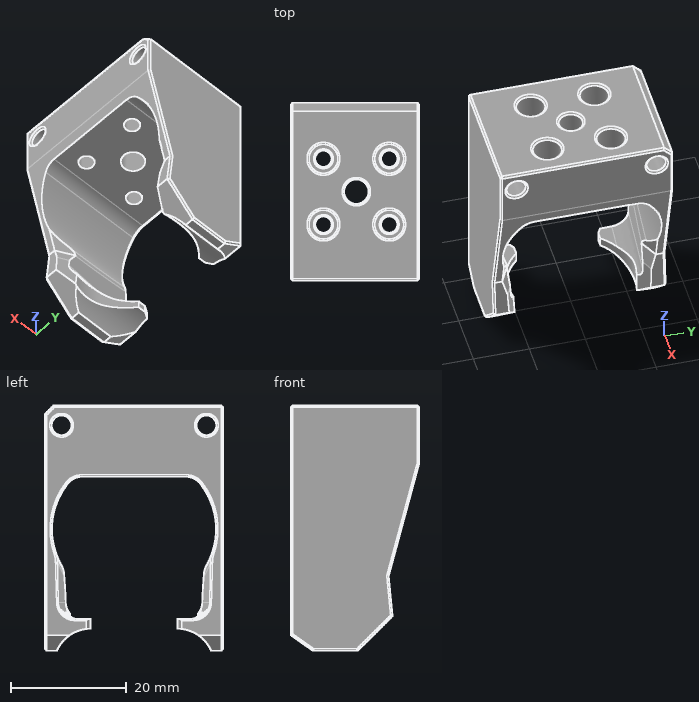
import cadquery as cq
import math

length = 22.18
width = 30.8
height = 42.4
edge_chamfer = 0.35
rear_top_chamfer = 1.5

shoulder_z = 32.35
waist_x, waist_z = 16.9, 12.95
heel_x, heel_z = 17.6, 6.0
sole_start_x, sole_end_x = 3.85, 11.55
toe_z = 2.7

roof_z = 30.05
bulge_half_width = 14.15
bulge_radius = 12.7
bulge_z = 21.05
bulge_base_z = 11.87
roof_corner_radius = 3.05

floor_z = 5.5
pocket_top_z = 19.1
pocket_half_width = 13.1
pocket_draft = 5.0
pocket_lean = 0.25
floor_radius = 2.93
ridge_radius = 4.25

hook_tip_y = 7.5
hook_bevel_x = 1.27
hook_bevel_y = 0.75
hook_thickness = 1.7
hook_underside_radius = 6.35
mouth_radius = 11.35
mouth_top_z = 8.5

flare_start_x = 12.7
flare_start_y = 10.6
flare_foot_y = 9.6
flare_rate = 0.5
flare_step = 1.0
flare_step_z = 10.0
flare_top_z = 21.2

bolt_x = 11.3
bolt_spacing = 11.35
bolt_diameter = 2.8
bolt_seat_diameter = 3.4
counterbore_diameter = 5.0
counterbore_depth = 5.95
center_diameter = 4.2
cross_diameter = 3.4
cross_y = 12.5
cross_z = 38.95

margin = 0.42


def make_block():
    """Outer body with the chamfers of its outside edges."""
    outline = [
        (0, toe_z),
        (sole_start_x, 0),
        (sole_end_x, 0),
        (heel_x, heel_z),
        (waist_x, waist_z),
        (length, shoulder_z),
        (length, height),
        (0, height),
    ]
    block = cq.Workplane("XZ").polyline(outline).close().extrude(width / 2, both=True)
    block = block.faces(">Y").edges(">Z").chamfer(rear_top_chamfer)
    front_edges = block.faces("<Y").edges()
    rear_edges = block.faces(">Y").edges("not >Z")
    top_side_edges = block.faces(">Z").edges("|Y")
    slanted_edges = block.faces(">(0,1,1)").edges("not |X")
    edges = front_edges.add(rear_edges).add(top_side_edges).add(slanted_edges)
    return block.newObject(edges.vals()).chamfer(edge_chamfer)


def make_bulge():
    """Straight prism along X with bowed sides and a flat rounded roof."""
    center_y = bulge_half_width - bulge_radius

    def side_y(z):
        return center_y + math.sqrt(bulge_radius**2 - (z - bulge_z) ** 2)

    roof_y = side_y(roof_z)
    base_y = side_y(bulge_base_z)
    prism = (
        cq.Workplane("YZ", origin=(-margin, 0, 0))
        .moveTo(-roof_y, roof_z)
        .lineTo(roof_y, roof_z)
        .threePointArc((bulge_half_width, bulge_z), (base_y, bulge_base_z))
        .lineTo(-base_y, bulge_base_z)
        .threePointArc((-bulge_half_width, bulge_z), (-roof_y, roof_z))
        .close()
        .extrude(length + 2 * margin)
    )
    return prism.faces(">Z").edges("|X").fillet(roof_corner_radius)


def make_pocket():
    """Pocket whose side walls close in toward +X, with rounded floor corners."""
    depth = length + 2 * margin
    narrowing = depth * math.tan(math.radians(pocket_draft))

    def section(half_width):
        top = half_width + pocket_lean
        return [(-half_width, floor_z), (half_width, floor_z), (top, pocket_top_z), (-top, pocket_top_z)]

    pocket = (
        cq.Workplane("YZ", origin=(-margin, 0, 0))
        .polyline(section(pocket_half_width))
        .close()
        .workplane(offset=depth)
        .polyline(section(pocket_half_width - narrowing))
        .close()
        .loft(ruled=True)
    )
    return pocket.faces("<Z").edges("not |Y").fillet(floor_radius)


def make_opening():
    """Bulge and pocket joined, with the ridge between them rounded."""
    opening = make_bulge().union(make_pocket())
    ridge_zone = cq.selectors.BoxSelector(
        (-2 * margin, -width, bulge_base_z + margin), (length + 2 * margin, width, pocket_top_z - margin)
    )
    ridges = opening.edges(ridge_zone).edges("not #X")
    return opening.newObject(ridges.vals()).fillet(ridge_radius)


def make_flare():
    """Outward-spreading cutter, widest at the waist."""
    waist_slope = (length - waist_x) / (shoulder_z - waist_z)
    peak_y = flare_start_y + flare_step
    top_y = peak_y - flare_rate * waist_slope * (flare_top_z - waist_z)
    spread = flare_rate * (length - flare_start_x)

    def section(shift):
        side = [
            (flare_foot_y + shift, -margin),
            (flare_start_y + shift, flare_step_z),
            (peak_y + shift, waist_z),
            (top_y + shift, flare_top_z),
        ]
        return side + [(-y, z) for y, z in reversed(side)]

    return (
        cq.Workplane("YZ", origin=(flare_start_x, 0, 0))
        .polyline(section(0))
        .close()
        .workplane(offset=length - flare_start_x)
        .polyline(section(spread))
        .close()
        .loft(ruled=True)
    )


def make_mouth():
    """Vertical cut that separates the hooks and bevels their tips."""
    cut_height = mouth_top_z + margin
    base = cq.Workplane("XY", origin=(0, 0, -margin))
    slot_outline = [
        (0, hook_tip_y + hook_bevel_y),
        (hook_bevel_x, hook_tip_y),
        (length, hook_tip_y),
        (length, -hook_tip_y),
        (hook_bevel_x, -hook_tip_y),
        (0, -hook_tip_y - hook_bevel_y),
    ]
    slot = base.polyline(slot_outline).close().extrude(cut_height)
    return slot.union(base.center(bolt_x, 0).circle(mouth_radius).extrude(cut_height))


def make_underside():
    """Round hollows that thin the hooks from below."""
    center_z = floor_z - hook_thickness - hook_underside_radius
    return (
        cq.Workplane("YZ", origin=(-margin, 0, 0))
        .pushPoints([(-hook_tip_y, center_z), (hook_tip_y, center_z)])
        .circle(hook_underside_radius)
        .extrude(length + 2 * margin)
    )


def chamfered_hole(diameter, depth):
    """Cutter along +Z from the origin, flared by the edge chamfer at its top end."""
    radius = diameter / 2
    hole = cq.Workplane("XY").circle(radius).extrude(depth)
    flare = cq.Workplane("XY", origin=(0, 0, depth)).circle(radius + edge_chamfer)
    return hole.union(flare.workplane(offset=-edge_chamfer).circle(radius).loft())


def make_top_holes():
    """Central hole and four counterbored bolt holes through the roof."""
    reach = height - bulge_z
    holes = chamfered_hole(center_diameter, reach).translate((bolt_x, 0, bulge_z))
    seat_z = height - counterbore_depth
    seat_chamfer = (bolt_seat_diameter - bolt_diameter) / 2
    seat = (
        cq.Workplane("XY", origin=(0, 0, seat_z))
        .circle(bolt_seat_diameter / 2)
        .workplane(offset=-seat_chamfer)
        .circle(bolt_diameter / 2)
        .loft()
    )
    bolt = (
        chamfered_hole(counterbore_diameter, counterbore_depth)
        .translate((0, 0, seat_z))
        .union(cq.Workplane("XY", origin=(0, 0, bulge_z)).circle(bolt_diameter / 2).extrude(seat_z - bulge_z))
        .union(seat)
    )
    for side_x in (-1, 1):
        for side_y in (-1, 1):
            x = bolt_x + side_x * bolt_spacing / 2
            holes = holes.union(bolt.translate((x, side_y * bolt_spacing / 2, 0)))
    return holes


def make_cross_holes():
    """Two holes along X near the top corners, chamfered at both ends."""
    half = chamfered_hole(cross_diameter, length / 2)
    hole = half.union(half.mirror("XY")).rotate((0, 0, 0), (0, 1, 0), 90)
    left = hole.translate((length / 2, cross_y, cross_z))
    return left.union(left.mirror("XZ"))


def chamfer_opening(body):
    """Chamfer the rim of the opening on the mounting face."""
    inset = width / 2 - 2 * edge_chamfer
    rim = cq.selectors.BoxSelector((-margin, -inset, floor_z - margin), (margin, inset, roof_z + margin))
    return body.faces("<X").edges(rim).chamfer(edge_chamfer)


body = chamfer_opening(make_block().cut(make_opening()))
body = body.cut(make_flare()).cut(make_mouth()).cut(make_underside())
result = body.cut(make_top_holes()).cut(make_cross_holes())